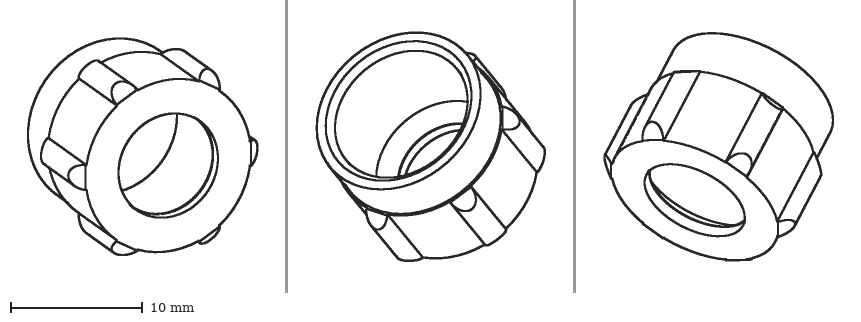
import cadquery as cq

total_length = 11.0
sleeve_length = 4.0
sleeve_diameter = 13.5
collar_diameter = 13.8

bore_diameter = 10.92
mouth_diameter = 12.0
seat_diameter = 8.4
outlet_diameter = 8.3
outlet_length = 1.0

rib_count = 6
rib_radius = 1.0
rib_reach = 7.9

start_x = -total_length / 2
end_x = total_length / 2
collar_x = start_x + sleeve_length
rib_axis_radius = rib_reach - rib_radius
mouth_depth = (mouth_diameter - bore_diameter) / 2
seat_length = (bore_diameter - seat_diameter) / 2
seat_end_x = end_x - outlet_length


def make_body():
    """Plain sleeve followed by the slightly larger collar."""
    sleeve = cq.Workplane("YZ", origin=(start_x, 0, 0)).circle(sleeve_diameter / 2).extrude(sleeve_length)
    collar = cq.Workplane("YZ", origin=(collar_x, 0, 0)).circle(collar_diameter / 2).extrude(end_x - collar_x)
    return sleeve.union(collar)


def make_rib():
    """Round grip rib on the +Y side, its ends cut by flat 45 degree slopes."""
    rod = cq.Workplane("YZ", origin=(collar_x, rib_axis_radius, 0)).circle(rib_radius).extrude(end_x - collar_x)
    envelope = (
        cq.Workplane("XY")
        .polyline([
            (collar_x, rib_axis_radius - rib_radius),
            (collar_x, rib_axis_radius),
            (collar_x + rib_radius, rib_reach),
            (end_x - rib_radius, rib_reach),
            (end_x, rib_axis_radius),
            (end_x, rib_axis_radius - rib_radius),
        ])
        .close()
        .extrude(rib_radius, both=True)
    )
    return rod.intersect(envelope)


def make_bore():
    """Through passage: countersunk mouth, straight bore, conical seat, fine ledge and outlet."""
    return (
        cq.Workplane("XY")
        .polyline([
            (start_x, 0),
            (start_x, mouth_diameter / 2),
            (start_x + mouth_depth, bore_diameter / 2),
            (seat_end_x - seat_length, bore_diameter / 2),
            (seat_end_x, seat_diameter / 2),
            (seat_end_x, outlet_diameter / 2),
            (end_x, outlet_diameter / 2),
            (end_x, 0),
        ])
        .close()
        .revolve(360, (0, 0, 0), (1, 0, 0))
    )


result = make_body()
rib = make_rib()
for index in range(rib_count):
    rib_angle = index * 360 / rib_count
    result = result.union(rib.rotate((0, 0, 0), (1, 0, 0), rib_angle))
result = result.cut(make_bore())